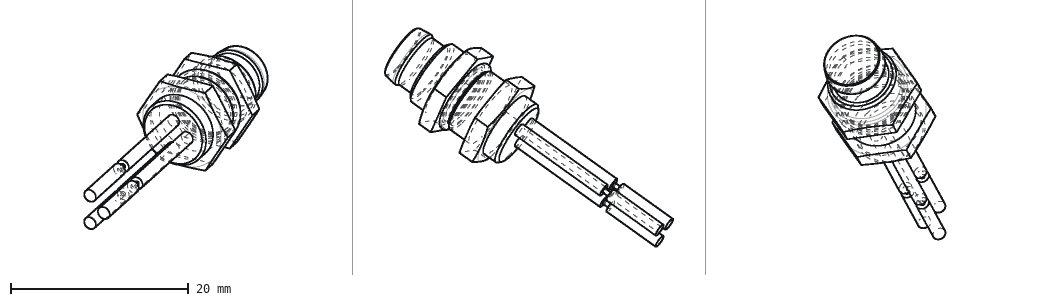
import cadquery as cq
import math

total_length = 36.55

plug_d = 6.47
lip_d = 6.9
nose_d = 6.55
nose_edge = 0.1
lip_start = 1.35
lip_end = 1.68
lip_taper_end = 2.0

body_d = 8.0
body_start = 4.0
body_end = 16.6
body_chamfer = 0.33
flange_fillet = 0.3

across_flats = 10.0
across_corners = across_flats / math.cos(math.radians(30))
flange_start = 6.5
flange_end = 8.5
flange_face_d = 9.35
flange_corner_drop = 0.33
nut_start = 12.5
nut_end = 14.6
nut_front_drop = 0.2
nut_back_face_d = 10.38
nut_back_drop = 0.07

seal_section_d = 1.0
seal_outer_d = 8.9
seal_squeeze = 0.05
groove_d = seal_outer_d - 2 * (seal_section_d - seal_squeeze)
groove_end = 9.72
groove_chamfer = 0.2

wire_d = 1.5
core_d = 0.55
wire_offset = 1.75
bare_start = 28.65
bare_end = 29.57
wire_positions = [(0, wire_offset), (0, -wire_offset), (wire_offset, 0)]


def cylinder(diameter, start, end, x=0, z=0):
    """Round bar along Y between two distances from the plug end."""
    plane = cq.Workplane("XZ", origin=(x, -start, z))
    return plane.circle(diameter / 2).extrude(end - start)


def revolve_about_y(profile):
    return profile.close().revolve(360, (0, 0, 0), (0, 1, 0))


def make_body():
    """Turned core from the plug nose to the wire outlet, with the seal groove."""
    plug_r = plug_d / 2
    lip_r = lip_d / 2
    nose_r = nose_d / 2
    body_r = body_d / 2
    groove_r = groove_d / 2
    fillet_mid = flange_fillet * (1 - math.sqrt(0.5))
    profile = (
        cq.Workplane("XY")
        .lineTo(nose_r - nose_edge, 0)
        .lineTo(nose_r, -nose_edge)
        .lineTo(lip_r, -lip_start)
        .lineTo(lip_r, -lip_end)
        .lineTo(plug_r, -lip_taper_end)
        .lineTo(plug_r, -body_start)
        .lineTo(body_r - body_chamfer, -body_start)
        .lineTo(body_r, -body_start - body_chamfer)
        .lineTo(body_r, -flange_start + flange_fillet)
        .threePointArc(
            (body_r + fillet_mid, -flange_start + fillet_mid),
            (body_r + flange_fillet, -flange_start),
        )
        .lineTo(body_r + flange_fillet, -flange_end)
        .lineTo(groove_r, -flange_end)
        .lineTo(groove_r, -groove_end + groove_chamfer)
        .lineTo(body_r - groove_chamfer, -groove_end + groove_chamfer)
        .lineTo(body_r, -groove_end)
        .lineTo(body_r, -body_end + body_chamfer)
        .lineTo(body_r - body_chamfer, -body_end)
        .lineTo(0, -body_end)
    )
    return revolve_about_y(profile)


def make_hexagon(start, end):
    plane = cq.Workplane("XZ", origin=(0, -start, 0))
    return plane.polygon(6, across_corners).extrude(end - start)


def corner_cut(face_y, face_d, drop_y):
    """Ring that turns hexagon corners to a cone.

    The cone leaves the face at face_d and shifts by drop_y along Y at the corners.
    """
    corner_r = across_corners / 2
    triangle = (
        cq.Workplane("XY")
        .moveTo(face_d / 2, face_y)
        .lineTo(corner_r, face_y)
        .lineTo(corner_r, face_y + drop_y)
    )
    return revolve_about_y(triangle)


def make_flange():
    hexagon = make_hexagon(flange_start, flange_end)
    return hexagon.cut(corner_cut(-flange_start, flange_face_d, -flange_corner_drop))


def make_nut():
    hexagon = make_hexagon(nut_start, nut_end)
    back_cut = corner_cut(-nut_start, nut_back_face_d, -nut_back_drop)
    front_cut = corner_cut(-nut_end, across_flats, nut_front_drop)
    return hexagon.cut(back_cut).cut(front_cut)


def make_seal():
    """O-ring pressed slightly into the groove floor and the flange."""
    section_r = seal_section_d / 2
    ring_r = seal_outer_d / 2 - section_r
    ring_y = -flange_end - section_r + seal_squeeze
    section = cq.Workplane("XY").center(ring_r, ring_y).circle(section_r)
    return section.revolve(360, (-ring_r, 0, 0), (-ring_r, 1, 0))


def make_wire(x, z):
    insulation = cylinder(wire_d, body_end, bare_start, x, z)
    core = cylinder(core_d, bare_start, bare_end, x, z)
    tip = cylinder(wire_d, bare_end, total_length, x, z)
    return insulation.union(core).union(tip)


connector = make_body().union(make_flange()).union(make_nut()).union(make_seal())
for wire_x, wire_z in wire_positions:
    connector = connector.union(make_wire(wire_x, wire_z))

result = connector.translate((0, total_length / 2, 0))